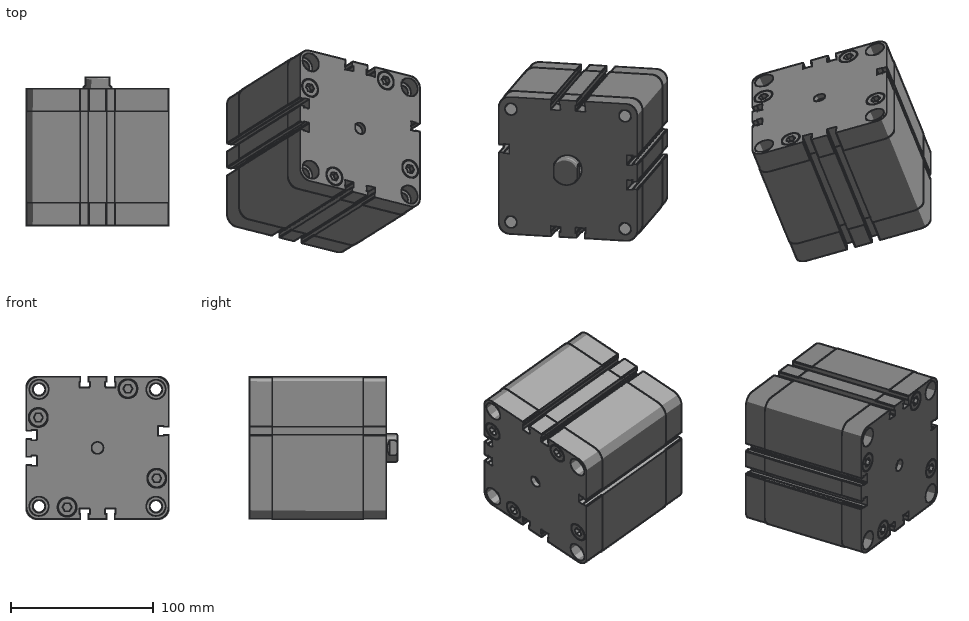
import cadquery as cq
import math


barrel_width = 100.0
cap_inset = 0.26
cap_width = barrel_width - 2 * cap_inset
corner_radius = 8.0
cap_length = 16.0
barrel_length = 64.0
housing_length = barrel_length + 2 * cap_length

overall_length = 104.0
rod_diameter = 20.0
rod_length = overall_length - housing_length
rod_end_radius = 1.8
flat_width = 17.1
flat_length = 5.7
flat_runout = (rod_diameter - flat_width) / 2

slot_depth = 7.5
slot_lip_level = 46.3
slot_neck_width = 5.6
slot_mouth_chamfer = 0.5
slot_cavity_reach = 3.3
paired_slot_offset = 9.2
paired_cavity_inner_reach = 3.7
paired_floor_chamfer = 0.5
single_slot_offset = 12.0
TOP, LEFT, BOTTOM, RIGHT = 0, -90, 180, 90

mount_offset = 41.0
mount_hole_diameter = 8.5
mount_bore_diameter = 13.5
mount_bore_depth = 8.7

screw_across = 21.3
screw_out = 41.5
screw_bore_diameter = 13.5
screw_head_diameter = 12.5
screw_head_height = 6.2
socket_across_flats = 5.7
socket_depth = 4.2

centre_hole_diameter = 8.4
centre_hole_depth = 4.0


def section_at(y):
    """Sketch plane facing the front (-Y), with local x along X and local y along Z."""
    return cq.Workplane("XZ", origin=(0, y, 0))


def rounded_block(width, start, length):
    block = section_at(start).rect(width, width).extrude(-length)
    return block.edges("|Y").fillet(corner_radius)


def turn(shape, side):
    """Turn a cutter made for the top face about the rod axis to another side."""
    return shape.rotate((0, 0, 0), (0, 1, 0), side)


def slot(width, start, length, offset, inner_reach, mouth_chamfer):
    """T-slot cutter for the top face of a block of the given width.

    offset is the middle of the neck; inner_reach goes from there to the cavity wall
    nearest the rod axis.
    """
    surface = width / 2
    floor = surface - slot_depth
    neck_inner = offset - slot_neck_width / 2
    neck_outer = offset + slot_neck_width / 2
    cavity_inner = offset - inner_reach
    cavity_outer = offset + slot_cavity_reach
    outline = [
        (neck_inner - mouth_chamfer, surface),
        (neck_inner, surface - mouth_chamfer),
        (neck_inner, slot_lip_level),
        (cavity_inner, slot_lip_level),
        (cavity_inner, floor),
        (cavity_outer, floor),
        (cavity_outer, slot_lip_level),
        (neck_outer, slot_lip_level),
        (neck_outer, surface - mouth_chamfer),
        (neck_outer + mouth_chamfer, surface),
    ]
    if mouth_chamfer == 0:
        outline = outline[1:-1]
    return section_at(start).polyline(outline).close().extrude(-length)


def slot_pair(width, start, length, mouth_chamfer):
    cutter = slot(width, start, length, paired_slot_offset, paired_cavity_inner_reach, mouth_chamfer)
    cutter = cutter.faces("<Z").edges("<X and |Y").chamfer(paired_floor_chamfer)
    return cutter.union(cutter.mirror("YZ"))


def single_slot(width, start, length, mouth_chamfer):
    cutter = slot(width, start, length, single_slot_offset, slot_cavity_reach, mouth_chamfer)
    return turn(cutter.mirror("YZ"), RIGHT)


def end_cap(start):
    cap = rounded_block(cap_width, start, cap_length)
    pair = slot_pair(cap_width, start, cap_length, slot_mouth_chamfer)
    for side in (TOP, LEFT, BOTTOM):
        cap = cap.cut(turn(pair, side))
    return cap.cut(single_slot(cap_width, start, cap_length, slot_mouth_chamfer))


def barrel():
    """Barrel whose slots have chamfered mouths on the left side only."""
    block = rounded_block(barrel_width, cap_length, barrel_length)
    for side, mouth_chamfer in ((TOP, 0), (LEFT, slot_mouth_chamfer), (BOTTOM, 0)):
        block = block.cut(turn(slot_pair(barrel_width, cap_length, barrel_length, mouth_chamfer), side))
    return block.cut(single_slot(barrel_width, cap_length, barrel_length, 0))


def rod():
    radius = rod_diameter / 2
    shaft = section_at(0).circle(radius).extrude(-rod_length)
    shaft = shaft.faces(">Y").edges().fillet(rod_end_radius)
    flat_start = rod_length - flat_length
    envelope_outline = [
        (radius, 0),
        (radius, flat_start - flat_runout),
        (flat_width / 2, flat_start),
        (flat_width / 2, rod_length),
        (-flat_width / 2, rod_length),
        (-flat_width / 2, flat_start),
        (-radius, flat_start - flat_runout),
        (-radius, 0),
    ]
    envelope = cq.Workplane("XY").polyline(envelope_outline).close().extrude(radius, both=True)
    return shaft.intersect(envelope).translate((0, housing_length, 0))


def mounting_holes():
    spots = section_at(0).rect(2 * mount_offset, 2 * mount_offset, forConstruction=True).vertices()
    holes = spots.circle(mount_hole_diameter / 2).extrude(-housing_length)
    bores = spots.circle(mount_bore_diameter / 2).extrude(-mount_bore_depth)
    return holes.union(bores)


def screw_recesses():
    """Ring gap around each screw head plus its hexagon socket."""
    spots = section_at(0).pushPoints([
        (screw_across, screw_out),
        (-screw_out, screw_across),
        (-screw_across, -screw_out),
        (screw_out, -screw_across),
    ])
    bores = spots.circle(screw_bore_diameter / 2).extrude(-screw_head_height)
    heads = spots.circle(screw_head_diameter / 2).extrude(-screw_head_height)
    socket_across_corners = socket_across_flats / math.cos(math.radians(30))
    sockets = spots.polygon(6, socket_across_corners).extrude(-socket_depth)
    return bores.cut(heads).union(sockets)


centre_hole = section_at(0).circle(centre_hole_diameter / 2).extrude(-centre_hole_depth)

result = barrel().union(end_cap(0)).union(end_cap(cap_length + barrel_length)).union(rod())
result = result.cut(mounting_holes()).cut(screw_recesses()).cut(centre_hole)